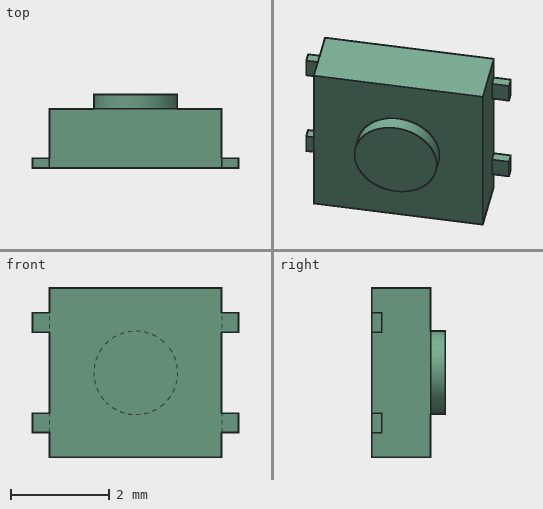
import cadquery as cq

overall_width = 4.2
overall_depth = 1.5
body_height = 3.45

body_width = 3.5
body_depth = 1.2
button_diameter = 1.7

terminal_height = 0.4
terminal_thickness = 0.2
terminal_spacing = 2.04
terminal_length = (overall_width - body_width) / 2


def make_body():
    """Rectangular housing with its -Y face on the XZ plane."""
    return cq.Workplane("XY").box(body_width, body_depth, body_height).translate((0, body_depth / 2, 0))


def make_button():
    """Round button reaching from the -Y face, through the housing, to the full depth."""
    return cq.Workplane("XZ").circle(button_diameter / 2).extrude(-overall_depth)


def make_terminal(side, row):
    """Terminal outside the housing; side and row are -1 or +1 along X and Z."""
    center = (
        side * (body_width + terminal_length) / 2,
        terminal_thickness / 2,
        row * terminal_spacing / 2,
    )
    return cq.Workplane("XY").box(terminal_length, terminal_thickness, terminal_height).translate(center)


result = make_body().union(make_button())
for side in (-1, 1):
    for row in (-1, 1):
        result = result.union(make_terminal(side, row))